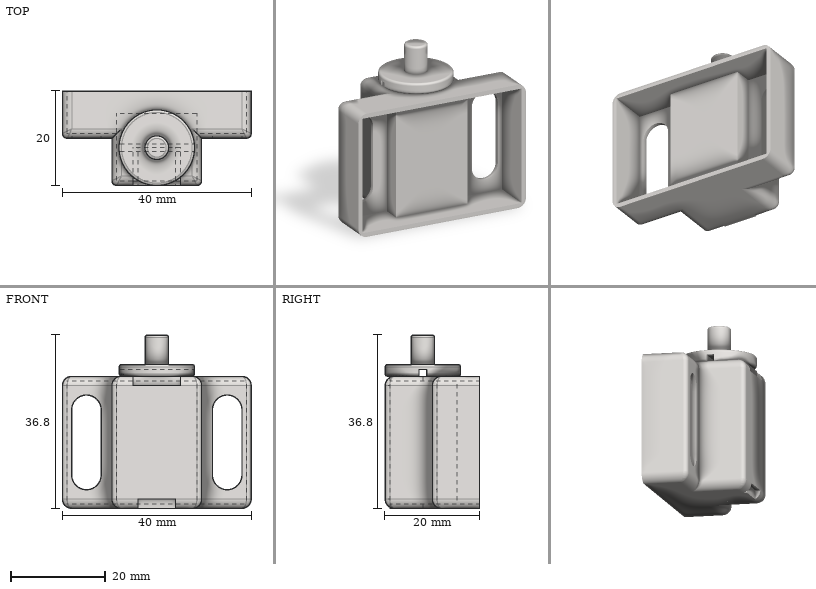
import cadquery as cq

plate_width = 40.0
plate_depth = 10.0
boss_width = 19.0
total_depth = 20.0
housing_height = 28.0
wall = 1.0
rim_radius = 2.0
corner_radius = 1.0
mid_height = housing_height / 2

slot_width = 6.2
slot_length = 20.0
slot_inset = 2.0
slot_x = plate_width / 2 - slot_inset - slot_width / 2

insert_width = boss_width - 2 * wall
insert_front = wall - total_depth
insert_back = -4.8
top_tongue_width = 10.0
bottom_tongue_width = 8.0

plunger_y = -12.0
disk_diameter = 16.0
disk_height = 2.5
shaft_diameter = 5.0
shaft_length = 6.25
edge_round = 0.5
groove_width = 1.6
groove_height = 1.4


def block(width, front, back, bottom, top):
    """Box centred on X = 0, between the given Y and Z limits."""
    size = (width, back - front, top - bottom)
    return cq.Workplane("XY").box(*size, centered=(True, False, False)).translate((0, front, bottom))


def tongue_space(width, front, bottom, top):
    """Space of a tongue or its opening, reaching back to the plunger axis."""
    return block(width, front, plunger_y, bottom, top)


def make_outer_shape():
    plate = block(plate_width, -plate_depth, 0, 0, housing_height)
    boss = block(boss_width, -total_depth, 0, 0, housing_height)
    shape = plate.union(boss)
    shape = shape.faces("|Z").edges("not >Y").fillet(rim_radius)
    shape = shape.edges("|Z").edges("<Y").fillet(corner_radius)
    return shape.edges("|Z").edges("<X or >X").edges("<Y").fillet(corner_radius)


def make_cavity():
    ceiling = housing_height - wall
    plate_cavity = block(plate_width - 2 * wall, wall - plate_depth, 0, wall, ceiling)
    boss_cavity = block(insert_width, insert_front, 0, wall, ceiling)
    return plate_cavity.union(boss_cavity)


def make_mounting_slots():
    return (
        cq.Workplane("XZ")
        .pushPoints([(-slot_x, mid_height), (slot_x, mid_height)])
        .slot2D(slot_length, slot_width, angle=90)
        .extrude(plate_depth)
    )


def make_housing():
    top_opening = tongue_space(top_tongue_width, -total_depth, housing_height - rim_radius, housing_height)
    bottom_opening = tongue_space(bottom_tongue_width, -total_depth, 0, rim_radius)
    housing = make_outer_shape().cut(make_cavity()).cut(make_mounting_slots())
    return housing.cut(top_opening).cut(bottom_opening)


def make_insert():
    core = block(insert_width, insert_front, insert_back, wall, housing_height - wall)
    top_tongue = tongue_space(top_tongue_width, insert_front, housing_height - rim_radius, housing_height)
    bottom_tongue = tongue_space(bottom_tongue_width, insert_front, 0, rim_radius)
    return core.union(top_tongue).union(bottom_tongue)


def make_plunger():
    disk = cq.Workplane("XY").circle(disk_diameter / 2).extrude(disk_height)
    disk = disk.edges().fillet(edge_round)
    shaft = (
        cq.Workplane("XY", origin=(0, 0, disk_height))
        .circle(shaft_diameter / 2)
        .extrude(shaft_length)
        .faces(">Z")
        .edges()
        .fillet(edge_round)
    )
    groove = block(disk_diameter, -groove_width / 2, groove_width / 2, 0, groove_height)
    return disk.cut(groove).union(shaft).translate((0, plunger_y, housing_height))


housing = make_housing()
insert = make_insert()
plunger = make_plunger()

result = cq.Compound.makeCompound([housing.solids().val(), insert.solids().val(), plunger.solids().val()])